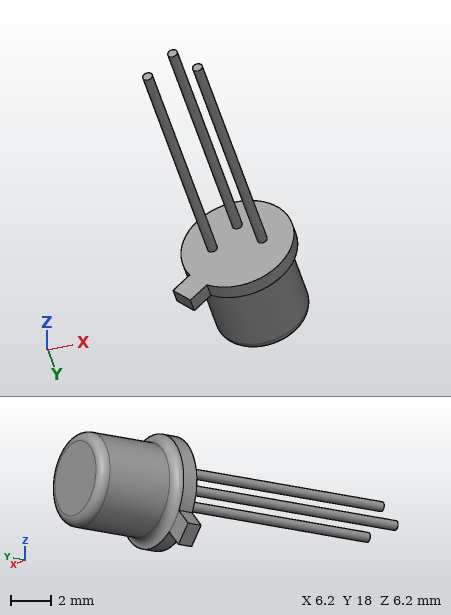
import cadquery as cq
import math

total_length = 18.0
lead_length = 12.7
body_length = total_length - lead_length

flange_radius = 2.9
flange_thickness = 0.77
can_edge_radius = 0.5
can_foot_radius = 0.5
can_radius = flange_radius - can_foot_radius

tab_width = 1.26
tab_reach = 4.03
tab_angle = 135.0

lead_radius = 0.25
lead_circle_radius = 1.28
lead_angles = (0.0, 90.0, 180.0)


def make_can_and_flange():
    """Revolve the half section of the flange and the closed can about Y."""
    diagonal = math.sqrt(0.5)
    foot_center_x = flange_radius
    foot_center_y = flange_thickness + can_foot_radius
    edge_center_x = can_radius - can_edge_radius
    edge_center_y = body_length - can_edge_radius
    section = (
        cq.Workplane("XY")
        .moveTo(0, 0)
        .lineTo(flange_radius, 0)
        .lineTo(flange_radius, flange_thickness)
        .threePointArc(
            (foot_center_x - can_foot_radius * diagonal, foot_center_y - can_foot_radius * diagonal),
            (can_radius, foot_center_y),
        )
        .lineTo(can_radius, edge_center_y)
        .threePointArc(
            (edge_center_x + can_edge_radius * diagonal, edge_center_y + can_edge_radius * diagonal),
            (edge_center_x, body_length),
        )
        .lineTo(0, body_length)
        .close()
    )
    return section.revolve(360, (0, 0, 0), (0, 1, 0))


def make_tab():
    """Index tab as thick as the flange, starting at the axis."""
    bar = cq.Workplane("XY").box(tab_reach, flange_thickness, tab_width, centered=(False, False, True))
    return bar.rotate((0, 0, 0), (0, 1, 0), tab_angle)


def make_lead(angle):
    """Straight round lead that ends on the seating face."""
    x = lead_circle_radius * math.cos(math.radians(angle))
    z = lead_circle_radius * math.sin(math.radians(angle))
    axis = cq.Workplane("XZ").center(x, z)
    return axis.circle(lead_radius).extrude(lead_length)


housing = make_can_and_flange().union(make_tab())
leads = [make_lead(angle) for angle in lead_angles]

result = cq.Compound.makeCompound([housing.val(), *[lead.val() for lead in leads]])